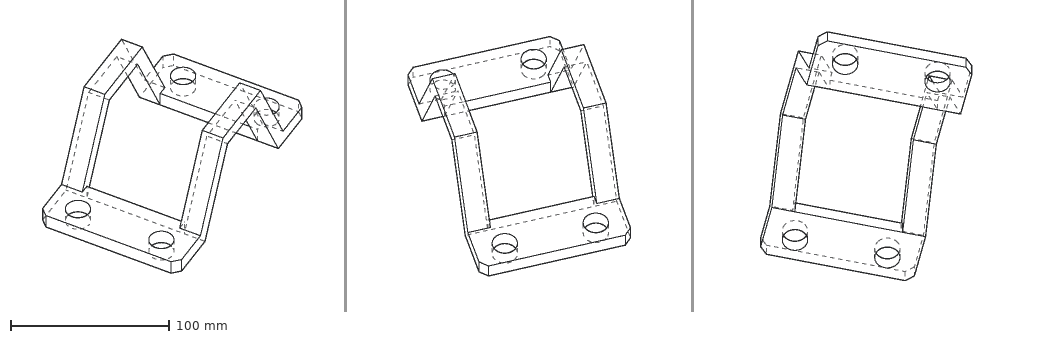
import cadquery as cq
import math

width = 100.0
length = 170.0
height = 70.0

thickness = 10.0
foot_bend_span = 110.0
crown_length = 50.0
arm_width = 15.0

corner_chamfer = 5.0
hole_diameter = 16.0
hole_spacing_x = 60.0
hole_spacing_y = 140.0

leg_run = (foot_bend_span - crown_length) / 2
leg_rise = height - thickness
leg_angle = math.atan2(leg_rise, leg_run)
bend_shift = thickness * math.tan(leg_angle / 2)

half_length = length / 2
half_foot_bend = foot_bend_span / 2
half_crown = crown_length / 2
half_opening = half_foot_bend - bend_shift


def bent_strip():
    """Full-width strip with two feet, two sloping legs and a flat crown."""
    half_outline = [
        (half_crown - bend_shift, leg_rise),
        (half_opening, 0),
        (half_length, 0),
        (half_length, thickness),
        (half_foot_bend, thickness),
        (half_crown, height),
    ]
    mirrored_half = [(-y, z) for y, z in reversed(half_outline)]
    outline = half_outline + mirrored_half
    return cq.Workplane("YZ").polyline(outline).close().extrude(width / 2, both=True)


def arm_gap():
    """Space that parts the strip into two arms between the feet."""
    gap_width = width - 2 * arm_width
    opening = cq.Workplane("XY").box(
        gap_width, 2 * half_opening, height, centered=(True, True, False)
    )
    above_feet = (
        cq.Workplane("XY")
        .workplane(offset=thickness)
        .box(gap_width, length, leg_rise, centered=(True, True, False))
    )
    return opening.union(above_feet)


def foot_holes():
    """Four mounting holes through the feet."""
    return (
        cq.Workplane("XY")
        .rect(hole_spacing_x, hole_spacing_y, forConstruction=True)
        .vertices()
        .circle(hole_diameter / 2)
        .extrude(thickness)
    )


def chamfered_blank():
    """Plan outline with its four corners cut off."""
    return (
        cq.Workplane("XY")
        .box(width, length, height, centered=(True, True, False))
        .edges("|Z")
        .chamfer(corner_chamfer)
    )


result = bent_strip().intersect(chamfered_blank()).cut(arm_gap()).cut(foot_holes())